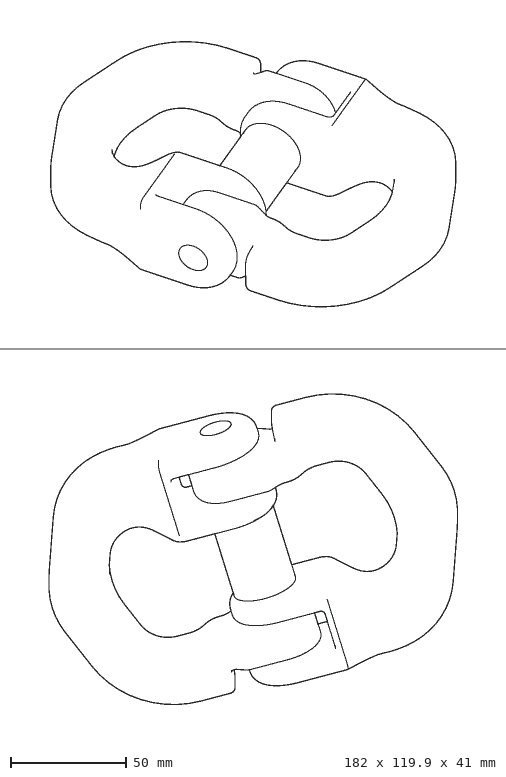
import cadquery as cq
import math


HALF_LENGTH = 91.0
HALF_WIDTH = 59.97
LINK_HALF_HEIGHT = 10.7
EDGE_RADIUS = 5.3
SMALL_EDGE_RADIUS = 2.5

FLANK_ANGLE = 20.0
CROWN_RADIUS = 35.9
FORK_CORNER_RADIUS = 35.9
TONGUE_CORNER_RADIUS = 44.0
OPENING_CROWN_X = -63.7
OPENING_FORK_Y = -26.85
OPENING_TONGUE_Y = 32.85
OPENING_RADIUS = 14.5
OPENING_FLAT_END_X = -38.4
NECK_ANGLE = 30.0
LUG_NECK_ANGLE = 34.0
LUG_NECK_RADIUS = 5.8
TIP_X = -25.0
TIP_LEAN = 5.0
SHOULDER_RADIUS = 1.3

FORK_HALF_HEIGHT = 20.48
FORK_OUTER_Y = -59.3
FORK_INNER_Y = -18.1
LUG_CENTRE_X = -3.3
FORK_CREST_X = -26.8
RAMP_ANGLE = 33.4
RAMP_BLEND_RADIUS = 33.1
FORK_STEP_START_X = -44.5
FORK_STEP_END_X = -39.1
SLOT_ROOT_X = -23.7
SLOT_CORNER_RADIUS = 1.8
SLOT_NEAR_Y = -28.8
SLOT_FAR_Y = -49.0

TONGUE_HALF_HEIGHT = 15.5
TONGUE_INNER_Y = 29.0
TONGUE_OUTER_Y = 48.8
TONGUE_CENTRE_X = 1.8
TONGUE_RAMP_TOP_X = -17.0
TONGUE_RAMP_FOOT_X = -22.5
TONGUE_RAMP_RADIUS = 2.0

PIN_DIAMETER = 28.0
PIN_END_DIAMETER = 14.0

ON_PLANE = 0.1
ALONG_AXIS = 0.999
BEYOND = 36.4


def on_circle(centre, radius, degrees):
    """Point on a circle at an angle measured from +X."""
    angle = math.radians(degrees)
    return (centre[0] + radius * math.cos(angle), centre[1] + radius * math.sin(angle))


def flank_x(crown_x, y):
    """X of the straight flank that leaves a crown arc tangentially, at height y."""
    lean = math.radians(FLANK_ANGLE)
    crown_end_x = crown_x + CROWN_RADIUS * (1 - math.cos(lean))
    crown_end_y = CROWN_RADIUS * math.sin(lean)
    return crown_end_x + (abs(y) - crown_end_y) * math.tan(lean)


def corner_centre(crown_x, radius, tangent_y):
    """Centre of the corner arc tangent to a flank and to the line y = tangent_y."""
    side = math.copysign(1, tangent_y)
    centre_y = tangent_y - side * radius
    touch_y = centre_y + side * radius * math.sin(math.radians(FLANK_ANGLE))
    touch_x = flank_x(crown_x, touch_y)
    return (touch_x + radius * math.cos(math.radians(FLANK_ANGLE)), centre_y)


def add_arc(sketch, centre, radius, start, end):
    """Run straight to the start of an arc and then along it; angles in degrees."""
    return sketch.lineTo(*on_circle(centre, radius, start)).threePointArc(
        on_circle(centre, radius, (start + end) / 2), on_circle(centre, radius, end)
    )


def plan_outline():
    """C-shaped outline of a link half seen along Z, open towards +X."""
    fork_corner = corner_centre(-HALF_LENGTH, FORK_CORNER_RADIUS, -HALF_WIDTH)
    tongue_corner = corner_centre(-HALF_LENGTH, TONGUE_CORNER_RADIUS, HALF_WIDTH)
    outer_crown = (-HALF_LENGTH + CROWN_RADIUS, 0)
    inner_crown = (OPENING_CROWN_X + CROWN_RADIUS, 0)
    opening_top = corner_centre(OPENING_CROWN_X, OPENING_RADIUS, OPENING_TONGUE_Y)
    opening_bottom = corner_centre(OPENING_CROWN_X, OPENING_RADIUS, OPENING_FORK_Y)
    flank_start = 180 - FLANK_ANGLE
    flank_end = 180 + FLANK_ANGLE

    neck_sum = (OPENING_TONGUE_Y - TONGUE_INNER_Y) / (1 - math.cos(math.radians(NECK_ANGLE)))
    neck_radius = neck_sum / 2
    neck_concave = (OPENING_FLAT_END_X, OPENING_TONGUE_Y - neck_radius)
    neck_convex = (
        OPENING_FLAT_END_X + neck_sum * math.sin(math.radians(NECK_ANGLE)),
        TONGUE_INNER_Y + neck_radius,
    )

    slope_angle = math.radians(LUG_NECK_ANGLE)
    slope_start = on_circle(opening_bottom, OPENING_RADIUS, LUG_NECK_ANGLE - 90)
    lug_round_y = FORK_INNER_Y - LUG_NECK_RADIUS
    slope_rise = lug_round_y + LUG_NECK_RADIUS * math.cos(slope_angle) - slope_start[1]
    slope_end_x = slope_start[0] + slope_rise / math.tan(slope_angle)
    lug_round = (slope_end_x + LUG_NECK_RADIUS * math.sin(slope_angle), lug_round_y)

    step_depth = FORK_OUTER_Y + HALF_WIDTH
    step_length = FORK_STEP_END_X - FORK_STEP_START_X
    step_turn = math.degrees(2 * math.atan(step_depth / step_length))
    step_radius = step_length / (2 * math.sin(math.radians(step_turn)))
    step_hollow = (FORK_STEP_END_X, FORK_OUTER_Y - step_radius)
    step_round = (FORK_STEP_START_X, -HALF_WIDTH + step_radius)

    lean = math.radians(TIP_LEAN)
    shoulder_y = TONGUE_OUTER_Y + SHOULDER_RADIUS
    shoulder_x = TIP_X + SHOULDER_RADIUS / math.cos(lean) + (HALF_WIDTH - shoulder_y) * math.tan(lean)
    shoulder = (shoulder_x, shoulder_y)

    sketch = cq.Workplane("XY").moveTo(BEYOND, FORK_OUTER_Y)
    sketch = add_arc(sketch, step_hollow, step_radius, 90, 90 + step_turn)
    sketch = sketch.threePointArc(
        on_circle(step_round, step_radius, 270 + step_turn / 2), on_circle(step_round, step_radius, 270)
    )
    sketch = add_arc(sketch, fork_corner, FORK_CORNER_RADIUS, 270, flank_end)
    sketch = add_arc(sketch, outer_crown, CROWN_RADIUS, flank_end, flank_start)
    sketch = add_arc(sketch, tongue_corner, TONGUE_CORNER_RADIUS, flank_start, 90)
    sketch = sketch.lineTo(TIP_X, HALF_WIDTH)
    sketch = add_arc(sketch, shoulder, SHOULDER_RADIUS, 180 + TIP_LEAN, 270)
    sketch = sketch.lineTo(BEYOND, TONGUE_OUTER_Y).lineTo(BEYOND, TONGUE_INNER_Y)
    sketch = add_arc(sketch, neck_convex, neck_radius, 270, 270 - NECK_ANGLE)
    sketch = sketch.threePointArc(
        on_circle(neck_concave, neck_radius, 90 - NECK_ANGLE / 2),
        on_circle(neck_concave, neck_radius, 90),
    )
    sketch = add_arc(sketch, opening_top, OPENING_RADIUS, 90, flank_start)
    sketch = add_arc(sketch, inner_crown, CROWN_RADIUS, flank_start, flank_end)
    sketch = add_arc(sketch, opening_bottom, OPENING_RADIUS, flank_end, 270 + LUG_NECK_ANGLE)
    sketch = add_arc(sketch, lug_round, LUG_NECK_RADIUS, 90 + LUG_NECK_ANGLE, 90)
    return sketch.lineTo(BEYOND, FORK_INNER_Y).close()


def mirrored_bar(upper_outline, start_y, end_y):
    """Solid from an upper side outline, mirrored below Z = 0 and run along Y."""
    upper = upper_outline.extrude(start_y - end_y).translate((0, start_y, 0))
    return upper.union(upper.mirror("XY"))


def fork_bar():
    """Side shape of the fork end: link bar, concave ramp, tall lugs with a round nose."""
    angle = math.radians(RAMP_ANGLE)
    corner_x = FORK_CREST_X - (FORK_HALF_HEIGHT - LINK_HALF_HEIGHT) / math.tan(angle)
    tangent = RAMP_BLEND_RADIUS * math.tan(angle / 2)
    foot_x = corner_x - tangent
    blend_centre = (foot_x, LINK_HALF_HEIGHT + RAMP_BLEND_RADIUS)
    outline = (
        cq.Workplane("XZ")
        .moveTo(-HALF_LENGTH - BEYOND, 0)
        .lineTo(-HALF_LENGTH - BEYOND, LINK_HALF_HEIGHT)
        .lineTo(foot_x, LINK_HALF_HEIGHT)
        .threePointArc(
            on_circle(blend_centre, RAMP_BLEND_RADIUS, 270 + RAMP_ANGLE / 2),
            on_circle(blend_centre, RAMP_BLEND_RADIUS, 270 + RAMP_ANGLE),
        )
        .lineTo(FORK_CREST_X, FORK_HALF_HEIGHT)
    )
    outline = add_arc(outline, (LUG_CENTRE_X, 0), FORK_HALF_HEIGHT, 90, 0).close()
    return mirrored_bar(outline, -HALF_WIDTH - BEYOND, 0)


def tongue_bar():
    """Side shape of the tongue end: link bar, short ramp, tongue with a round nose."""
    outline = (
        cq.Workplane("XZ")
        .moveTo(-HALF_LENGTH - BEYOND, 0)
        .lineTo(-HALF_LENGTH - BEYOND, LINK_HALF_HEIGHT)
        .lineTo(TONGUE_RAMP_FOOT_X, LINK_HALF_HEIGHT)
        .lineTo(TONGUE_RAMP_TOP_X, TONGUE_HALF_HEIGHT)
    )
    outline = add_arc(outline, (TONGUE_CENTRE_X, 0), TONGUE_HALF_HEIGHT, 90, 0).close()
    bar = mirrored_bar(outline, 0, HALF_WIDTH + BEYOND)

    def is_ramp_edge(edge):
        x = edge.Center().x
        return TONGUE_RAMP_FOOT_X - ON_PLANE < x < TONGUE_RAMP_TOP_X + ON_PLANE

    ramp_edges = [edge for edge in bar.edges("|Y").vals() if is_ramp_edge(edge)]
    return bar.newObject(ramp_edges).fillet(TONGUE_RAMP_RADIUS)


def is_rim(edge):
    """True for edges along the plan outline, false for upright, cross and split-plane edges."""
    if abs(edge.Center().y) < ON_PLANE:
        return False
    if edge.geomType() != "LINE":
        return True
    direction = edge.tangentAt(0.5)
    return abs(direction.z) < ALONG_AXIS and abs(direction.y) < ALONG_AXIS


def is_outer(edge):
    """True for edges on the outer side of the link, away from the opening."""
    centre = edge.Center()
    return centre.x < OPENING_CROWN_X - EDGE_RADIUS or abs(centre.y) > OPENING_TONGUE_Y + EDGE_RADIUS


def is_tip_side(edge):
    """True for outer edges from the tip face along to the end of the tongue."""
    return is_outer(edge) and edge.Center().x > TIP_X - SMALL_EDGE_RADIUS / 2


def round_edges(body, chosen, radius):
    """Round the edges for which chosen(edge) is true."""
    return body.newObject([edge for edge in body.edges().vals() if chosen(edge)]).fillet(radius).solids()


def fork_end(blank):
    """Half of the link below Y = 0, with its fork still solid."""
    fork = blank.intersect(fork_bar()).solids()
    fork = round_edges(fork, lambda edge: is_rim(edge) and is_outer(edge), EDGE_RADIUS)
    return round_edges(fork, lambda edge: is_rim(edge) and not is_outer(edge), EDGE_RADIUS)


def tongue_end(blank):
    """Half of the link above Y = 0, with its tongue and the tip beside it."""
    tongue = blank.intersect(tongue_bar()).solids()

    def is_outer_bar(edge):
        return is_rim(edge) and is_outer(edge) and not is_tip_side(edge)

    def is_light(edge):
        upright_at_tip = edge.geomType() == "LINE" and edge.Center().y > HALF_WIDTH - ON_PLANE
        flat_end_edge = upright_at_tip and abs(edge.tangentAt(0.5).z) > ALONG_AXIS
        return is_tip_side(edge) and (is_rim(edge) or flat_end_edge)

    tongue = round_edges(tongue, is_outer_bar, EDGE_RADIUS)
    tongue = round_edges(tongue, is_light, SMALL_EDGE_RADIUS)
    return round_edges(tongue, lambda edge: is_rim(edge) and not is_outer(edge), EDGE_RADIUS)


def is_slot_edge(edge):
    """True for the open edges of the fork slot."""
    box = edge.BoundingBox()
    in_slot = box.ymin > SLOT_FAR_Y - ON_PLANE and box.ymax < SLOT_NEAR_Y + ON_PLANE
    return in_slot and box.xmax > SLOT_ROOT_X - ON_PLANE


def cut_slot(link):
    """Cut the fork slot, with rounded root corners and rounded open edges."""
    slot_width = SLOT_NEAR_Y - SLOT_FAR_Y
    slot_length = BEYOND - SLOT_ROOT_X
    slot_height = 2 * (FORK_HALF_HEIGHT + BEYOND)
    slot = (
        cq.Workplane("XY")
        .box(slot_length, slot_width, slot_height, centered=(False, False, True))
        .translate((SLOT_ROOT_X, SLOT_FAR_Y, 0))
        .edges("|Z and <X")
        .fillet(SLOT_CORNER_RADIUS)
    )
    return round_edges(link.cut(slot).solids(), is_slot_edge, SMALL_EDGE_RADIUS)


def pin_hole():
    """Bore for the thin ends of the pin through lugs and tongue."""
    return cq.Workplane("XZ").circle(PIN_END_DIAMETER / 2).extrude(HALF_WIDTH + BEYOND, both=True)


def link_half():
    """One complete link half with its fork at -Y and its tongue at +Y."""
    blank = plan_outline().extrude(FORK_HALF_HEIGHT + BEYOND, both=True)
    link = fork_end(blank).union(tongue_end(blank)).clean()
    return cut_slot(link).cut(pin_hole()).solids()


def stepped_pin():
    """Pin with a thick middle between the inner lugs and thin ends flush with the outer lugs."""
    middle = cq.Workplane("XZ").circle(PIN_DIAMETER / 2).extrude(FORK_INNER_Y, both=True)
    ends = cq.Workplane("XZ").circle(PIN_END_DIAMETER / 2).extrude(FORK_OUTER_Y, both=True)
    return middle.union(ends)


link = link_half()
links = [link.rotate((0, 0, 0), (0, 0, 1), turn) for turn in (0, 180)]
pin = stepped_pin()

result = cq.Compound.makeCompound([*(half.val() for half in links), pin.val()])